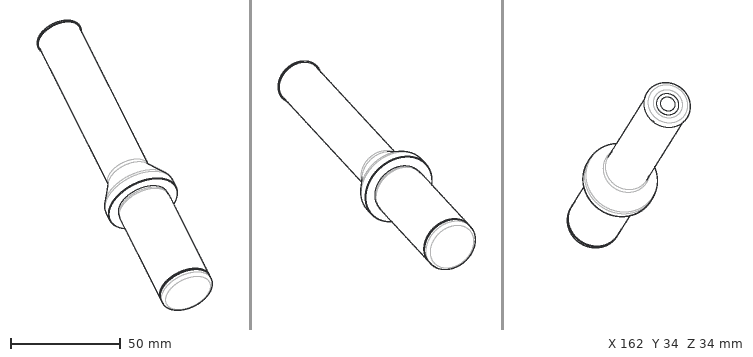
import cadquery as cq
import math

shaft_radius = 20.5 / 2
shank_radius = 25.0 / 2
relief_radius = 24.5 / 2
flange_radius = 34.0 / 2

length = 162.0
tip_length = 1.6
cone_start = 88.8
flange_start = 101.0
flange_end = 106.1
relief_end = 107.1
shank_start = 108.0
groove_start = 158.1

cone_blend_radius = 4.5
rim_blend_radius = 2.9
rim_chamfer = 0.3
groove_width = 1.0
groove_depth = 0.2
end_round_radius = 1.5

tip_radius = 10.9
tip_corner_radius = tip_length
face_radius = tip_radius - tip_corner_radius
face_inner_radius = 6.8
valley_radius = 5.2
ridge_radius = 3.4
valley_depth = 0.5
ridge_depth = 0.2
center_depth = 0.6

X_AXIS = ((0, 0, 0), (1, 0, 0))


def make_tip():
    corner_shift = tip_corner_radius * math.sqrt(0.5)
    corner_midpoint = (tip_corner_radius - corner_shift, face_radius + corner_shift)
    outline = (
        cq.Workplane("XY")
        .moveTo(center_depth, 0)
        .lineTo(ridge_depth, ridge_radius)
        .lineTo(valley_depth, valley_radius)
        .lineTo(0, face_inner_radius)
        .lineTo(0, face_radius)
        .threePointArc(corner_midpoint, (tip_corner_radius, tip_radius))
        .lineTo(tip_length, 0)
        .close()
    )
    return outline.revolve(360, *X_AXIS)


def blend_circle(body, station, radius, blend_radius):
    """Fillet the circular edge at the given station and radius."""
    reach = radius + 0.2
    slab = 0.2
    selector = cq.selectors.BoxSelector(
        (station - slab, -reach, -reach), (station + slab, reach, reach), boundingbox=True
    )
    return body.edges(selector).fillet(blend_radius)


def make_holder():
    groove_end = groove_start + groove_width
    groove_radius = shank_radius - groove_depth
    outline = cq.Workplane("XY").polyline([
        (tip_length, 0),
        (tip_length, shaft_radius),
        (cone_start, shaft_radius),
        (flange_start, flange_radius),
        (flange_end - rim_chamfer, flange_radius),
        (flange_end, flange_radius - rim_chamfer),
        (flange_end, relief_radius),
        (relief_end, relief_radius),
        (shank_start, shank_radius),
        (groove_start, shank_radius),
        (groove_start + groove_width / 2, groove_radius),
        (groove_end, shank_radius),
        (length, shank_radius),
        (length, 0),
    ]).close()
    holder = outline.revolve(360, *X_AXIS)
    holder = blend_circle(holder, cone_start, shaft_radius, cone_blend_radius)
    holder = blend_circle(holder, flange_start, flange_radius, rim_blend_radius)
    return blend_circle(holder, length, shank_radius, end_round_radius)


tip = make_tip()
holder = make_holder()
result = cq.Compound.makeCompound([tip.val(), holder.val()])